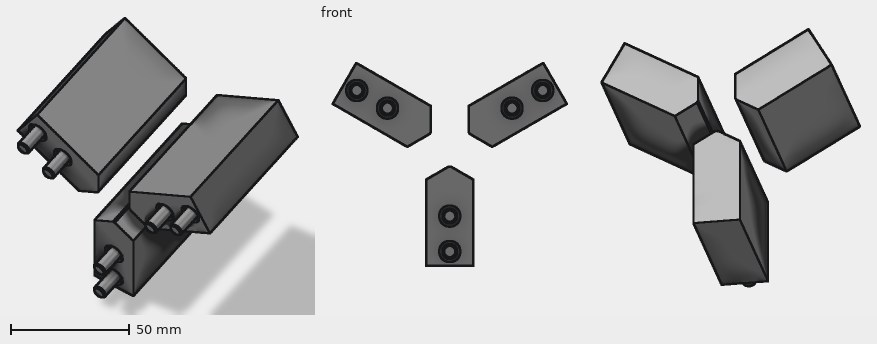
import cadquery as cq
import math

BLOCK_COUNT = 3
TURN = 360 / BLOCK_COUNT
OVERALL_WIDTH = 99.2
BLOCK_WIDTH = 20.0
BLOCK_LENGTH = 65.0
SHOULDER_HEIGHT = 36.5
SLOPE_ANGLE = math.radians(30)
TIP_WIDTH = 1.0

PINS_PER_BLOCK = 2
PIN_DIAMETER = 6.0
PIN_PROTRUSION = 11.0
PIN_CHAMFER = 0.6
PIN_SPACING = 15.0
PIN_EDGE_DISTANCE = 6.1
SOCKET_DIAMETER = 6.3
SOCKET_DEPTH = 11.9
RECESS_DIAMETER = 9.0
RECESS_DEPTH = 2.0

OUTER_DISTANCE = (
    OVERALL_WIDTH / 2 - BLOCK_WIDTH / 2 * abs(math.cos(math.radians(TURN)))
) / math.sin(math.radians(TURN))

OUTER_Z = -OUTER_DISTANCE
SHOULDER_Z = OUTER_Z + SHOULDER_HEIGHT
TIP_Z = SHOULDER_Z + (BLOCK_WIDTH - TIP_WIDTH) / 2 * math.tan(SLOPE_ANGLE)
PIN_HEIGHTS = [OUTER_Z + PIN_EDGE_DISTANCE + i * PIN_SPACING for i in range(PINS_PER_BLOCK)]


def cylinder(diameter, z, y_start, y_end):
    """Cylinder along +Y between two Y positions, centred at x = 0 and height z."""
    return cq.Workplane(
        cq.Solid.makeCylinder(
            diameter / 2, y_end - y_start, cq.Vector(0, y_start, z), cq.Vector(0, 1, 0)
        )
    )


def make_block():
    """Lower block: flat-tipped gabled prism with its front face at y = 0 and stepped pin sockets."""
    half = BLOCK_WIDTH / 2
    half_tip = TIP_WIDTH / 2
    block = (
        cq.Workplane("XZ")
        .polyline([
            (-half, OUTER_Z),
            (half, OUTER_Z),
            (half, SHOULDER_Z),
            (half_tip, TIP_Z),
            (-half_tip, TIP_Z),
            (-half, SHOULDER_Z),
        ])
        .close()
        .extrude(-BLOCK_LENGTH)
    )
    for z in PIN_HEIGHTS:
        block = block.cut(cylinder(SOCKET_DIAMETER, z, 0, SOCKET_DEPTH))
        block = block.cut(cylinder(RECESS_DIAMETER, z, 0, RECESS_DEPTH))
    return block


def make_pin(z):
    """Pin seated on the socket bottom, with a chamfered free end."""
    pin = cylinder(PIN_DIAMETER, z, -PIN_PROTRUSION, SOCKET_DEPTH)
    return pin.faces("<Y").chamfer(PIN_CHAMFER)


def turned(body, index):
    """Solid of a lower body turned about the Y axis to the given block position."""
    return body.rotate((0, 0, 0), (0, 1, 0), index * TURN).val()


blocks = [turned(make_block(), i) for i in range(BLOCK_COUNT)]
pins = [turned(make_pin(z), i) for i in range(BLOCK_COUNT) for z in PIN_HEIGHTS]

result = cq.Compound.makeCompound([*blocks, *pins])